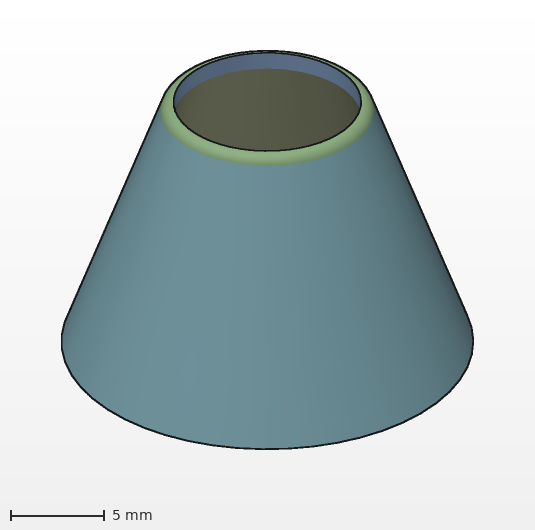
import cadquery as cq
import math

base_diameter = 22.0
height = 15.0
wall_draft_angle = 20.0
top_hole_diameter = 10.0
top_hole_depth = 1.0
base_opening_diameter = 18.0
rim_fillet_radius = 0.75

base_radius = base_diameter / 2
hole_radius = top_hole_diameter / 2
rim_radius = base_radius - height * math.tan(math.radians(wall_draft_angle))
lip_bottom = height - top_hole_depth


def outer_cone():
    """Solid truncated cone with a rounded top rim."""
    cone = (
        cq.Workplane("XZ")
        .polyline([(0, 0), (base_radius, 0), (rim_radius, height), (0, height)])
        .close()
        .revolve(360, (0, 0), (0, 1))
    )
    return cone.faces(">Z").edges().fillet(rim_fillet_radius)


def inner_cavity():
    """Conical cavity that narrows upward into a straight hole through the rim."""
    return (
        cq.Workplane("XZ")
        .moveTo(0, 0)
        .lineTo(base_opening_diameter / 2, 0)
        .lineTo(hole_radius, lip_bottom)
        .lineTo(hole_radius, height)
        .lineTo(0, height)
        .close()
        .revolve(360, (0, 0), (0, 1))
    )


result = outer_cone().cut(inner_cavity())